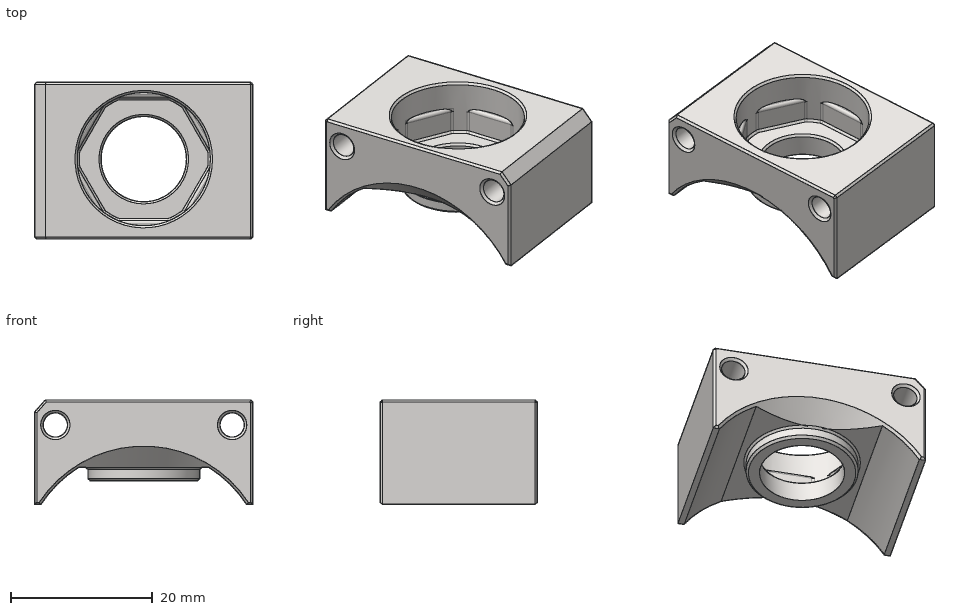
import cadquery as cq
import math

LENGTH = 30.8
WIDTH = 22.18
HEIGHT = 14.75
EDGE_CHAMFER = 0.3
SLOPE_RUN = 1.5
SLOPE_DROP = 1.7

SADDLE_RADIUS = 17.3
SADDLE_AXIS_Z = -9.45
SADDLE_CEILING_Z = 5.25
MOUTH_CHAMFER = 0.37
MOUTH_RADIUS = SADDLE_RADIUS + MOUTH_CHAMFER

CROSS_HOLE_DIAMETER = 3.4
CROSS_HOLE_SPACING = 24.95
CROSS_HOLE_DEPTH = 3.55
CROSS_HOLE_Z = HEIGHT - CROSS_HOLE_DEPTH
CROSS_HOLE_CHAMFER = 0.37

PORT_CENTER = (0, 0.22, 0)

BORE_DIAMETER = 18.8
BORE_CHAMFER = 0.3
POCKET_FLOOR_Z = 6.78
HEX_SIDES = 6
SIDE_ANGLE = 360 / HEX_SIDES
HEX_ACROSS_FLATS = 17.3
HEX_TOP_Z = 10.63
HEX_CORNER_FILLET = 1.0
HEX_TOP_FILLET = 0.5
FLOOR_CHAMFER = 0.3

THROUGH_DIAMETER = 12.0
THROUGH_CHAMFER = 0.3

RING_DIAMETER = 15.83
RING_BOTTOM_Z = 3.33
RING_CHAMFER = 0.35
RING_FLARE = 0.3

FAR = 2 * LENGTH


def block_blank():
    """Block with the sloped edge and chamfered outer edges."""
    left = -LENGTH / 2
    right = LENGTH / 2
    outline = [
        (left, 0),
        (right, 0),
        (right, HEIGHT - EDGE_CHAMFER),
        (right - EDGE_CHAMFER, HEIGHT),
        (left + SLOPE_RUN, HEIGHT),
        (left, HEIGHT - SLOPE_DROP),
    ]
    blank = cq.Workplane("XZ").polyline(outline).close().extrude(WIDTH / 2, both=True)
    return blank.faces("|Y").edges().chamfer(EDGE_CHAMFER)


def saddle_channel():
    """Cylinder along Y below the flat ceiling."""
    cylinder = (
        cq.Workplane("XZ").center(0, SADDLE_AXIS_Z).circle(SADDLE_RADIUS).extrude(WIDTH, both=True)
    )
    below_ceiling = (
        cq.Workplane("XY").workplane(offset=SADDLE_CEILING_Z).rect(FAR, FAR).extrude(-FAR)
    )
    return cylinder.intersect(below_ceiling)


def saddle_mouths():
    """45 degree cones about the saddle axis, narrowing inward from both end faces."""
    mouth = cq.Solid.makeCone(
        MOUTH_RADIUS,
        MOUTH_RADIUS - WIDTH / 2,
        WIDTH / 2,
        pnt=cq.Vector(0, -WIDTH / 2, SADDLE_AXIS_Z),
        dir=cq.Vector(0, 1, 0),
    )
    front_mouth = cq.Workplane(mouth)
    return front_mouth.union(front_mouth.mirror("XZ"))


def chamfered_hole(radius, chamfer, length):
    """Cutter along +Z from Z = 0, widened by a 45 degree chamfer at both ends."""
    outline = [
        (0, 0),
        (radius + chamfer, 0),
        (radius, chamfer),
        (radius, length - chamfer),
        (radius + chamfer, length),
        (0, length),
    ]
    return cq.Workplane("XZ").polyline(outline).close().revolve(360, (0, 0), (0, 1))


def cross_holes():
    """Two chamfered holes through the block along Y."""
    hole = (
        chamfered_hole(CROSS_HOLE_DIAMETER / 2, CROSS_HOLE_CHAMFER, WIDTH)
        .translate((0, 0, -WIDTH / 2))
        .rotate((0, 0, 0), (1, 0, 0), 90)
    )
    left = hole.translate((-CROSS_HOLE_SPACING / 2, 0, CROSS_HOLE_Z))
    right = hole.translate((CROSS_HOLE_SPACING / 2, 0, CROSS_HOLE_Z))
    return left.union(right)


def bore():
    """Round bore from the pocket floor to the top, widened by a chamfer at its mouth."""
    radius = BORE_DIAMETER / 2
    cylinder = (
        cq.Workplane("XY")
        .workplane(offset=POCKET_FLOOR_Z)
        .circle(radius)
        .extrude(HEIGHT - POCKET_FLOOR_Z)
    )
    chamfer = cq.Solid.makeCone(
        radius,
        radius + BORE_CHAMFER,
        BORE_CHAMFER,
        pnt=cq.Vector(0, 0, HEIGHT - BORE_CHAMFER),
    )
    return cylinder.union(cq.Workplane(chamfer))


def hex_socket():
    """Hexagon with flats facing +Y and -Y, cut off at the bore, from the floor to the flats' top."""
    hexagon = (
        cq.Workplane("XY")
        .workplane(offset=POCKET_FLOOR_Z)
        .polygon(HEX_SIDES, HEX_ACROSS_FLATS, circumscribed=True)
        .extrude(HEX_TOP_Z - POCKET_FLOOR_Z)
        .rotate((0, 0, 0), (0, 0, 1), SIDE_ANGLE / 2)
    )
    return (
        hexagon.intersect(bore())
        .edges("|Z")
        .fillet(HEX_CORNER_FILLET)
        .faces("<Z")
        .edges()
        .chamfer(FLOOR_CHAMFER)
    )


def flat_roundovers():
    """Cutter that rounds the upper edge of each of the six flats."""
    apothem = HEX_ACROSS_FLATS / 2
    flat_half_length = math.sqrt((BORE_DIAMETER / 2) ** 2 - apothem**2)
    half_length = flat_half_length + HEX_TOP_FILLET
    arc_start_z = HEX_TOP_Z - HEX_TOP_FILLET
    arc_center_y = apothem + HEX_TOP_FILLET
    arc_offset = HEX_TOP_FILLET * math.sqrt(0.5)
    profile = (
        cq.Workplane("YZ")
        .moveTo(apothem - HEX_TOP_FILLET, arc_start_z)
        .lineTo(apothem, arc_start_z)
        .threePointArc(
            (arc_center_y - arc_offset, arc_start_z + arc_offset),
            (arc_center_y, HEX_TOP_Z),
        )
        .lineTo(apothem - HEX_TOP_FILLET, HEX_TOP_Z)
        .close()
    )
    one_flat = profile.extrude(half_length, both=True).intersect(bore())
    cutters = one_flat
    for step in range(1, HEX_SIDES):
        cutters = cutters.union(one_flat.rotate((0, 0, 0), (0, 0, 1), SIDE_ANGLE * step))
    return cutters


def pocket():
    """Stepped pocket: round bore above, hexagonal socket with rounded flats below."""
    above_flats = cq.Workplane("XY").workplane(offset=HEX_TOP_Z).rect(FAR, FAR).extrude(HEIGHT)
    return bore().intersect(above_flats).union(hex_socket()).union(flat_roundovers())


def through_hole():
    """Hole through floor and ring, chamfered at its upper edge."""
    radius = THROUGH_DIAMETER / 2
    hole = cq.Workplane("XY").circle(radius).extrude(POCKET_FLOOR_Z)
    chamfer = cq.Solid.makeCone(
        radius,
        radius + THROUGH_CHAMFER,
        THROUGH_CHAMFER,
        pnt=cq.Vector(0, 0, POCKET_FLOOR_Z - THROUGH_CHAMFER),
    )
    return hole.union(cq.Workplane(chamfer))


def ring():
    """Ring under the ceiling, flared where it meets it and chamfered at its lower outer edge."""
    outer = RING_DIAMETER / 2
    profile = [
        (0, RING_BOTTOM_Z),
        (outer - RING_CHAMFER, RING_BOTTOM_Z),
        (outer, RING_BOTTOM_Z + RING_CHAMFER),
        (outer, SADDLE_CEILING_Z - RING_FLARE),
        (outer + RING_FLARE, SADDLE_CEILING_Z),
        (0, SADDLE_CEILING_Z),
    ]
    return cq.Workplane("XZ").polyline(profile).close().revolve(360, (0, 0), (0, 1))


def make_saddle_block():
    """Saddle block with its cross holes, socket pocket and the ring around its floor hole."""
    return (
        block_blank()
        .cut(saddle_channel())
        .cut(saddle_mouths())
        .union(ring().translate(PORT_CENTER))
        .cut(cross_holes())
        .cut(pocket().translate(PORT_CENTER))
        .cut(through_hole().translate(PORT_CENTER))
        .solids()
    )


saddle_block = make_saddle_block()
result = cq.Compound.makeCompound([saddle_block.val()])